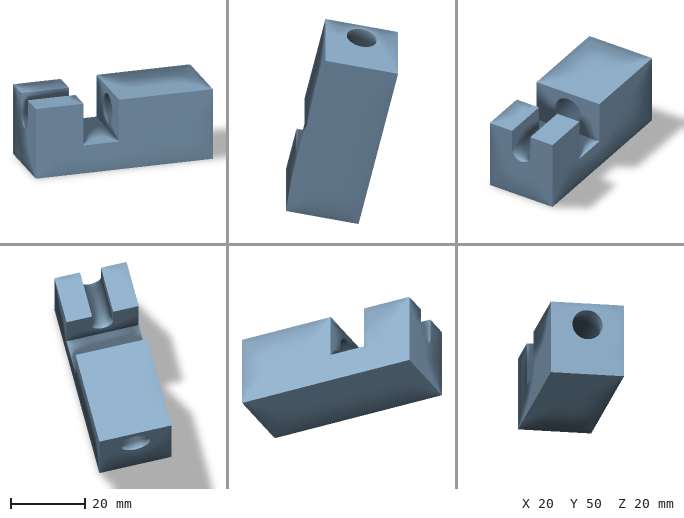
import cadquery as cq

width = 20.0
length = 50.0
height = 20.0

post_length = 13.5
gap_length = 10.0
gap_floor = 8.0

axis_height = 14.0
bore_diameter = 8.2
slot_width = 5.8

gap_end = post_length + gap_length

block = cq.Workplane("XY").box(width, length, height, centered=(True, False, False))

gap = (
    cq.Workplane("XY")
    .box(width, gap_length, height - gap_floor, centered=(True, False, False))
    .translate((0, post_length, gap_floor))
)


def cylinder_along_y(diameter, start, end):
    """Cylinder on the common axis, running from Y = start to Y = end."""
    return (
        cq.Workplane("XZ", origin=(0, start, axis_height))
        .circle(diameter / 2)
        .extrude(start - end)
    )


slot_bottom = cylinder_along_y(slot_width, 0, post_length)
slot_opening = (
    cq.Workplane("XY")
    .box(slot_width, post_length, height - axis_height, centered=(True, False, False))
    .translate((0, 0, axis_height))
)
slot = slot_bottom.union(slot_opening)

bore = cylinder_along_y(bore_diameter, gap_end, length)

result = block.cut(gap).cut(slot).cut(bore)